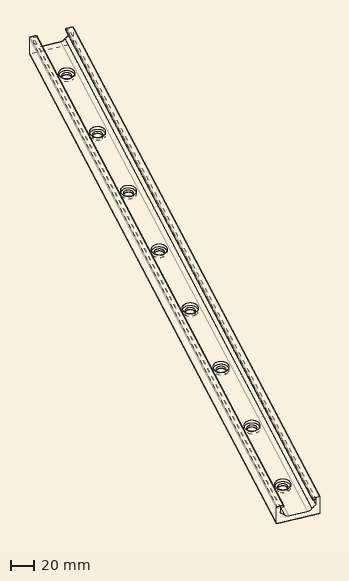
import cadquery as cq

length = 640.0
width = 40.0
height = 20.0

floor_thickness = 6.0
wall_thickness = 4.0
lip_thickness = 2.0
lip_opening = 26.0
edge_radius = 0.8

floor_width = 17.0
cove_width = 4.0
cove_height = 2.5
ledge_rise = 3.0

hole_count = 8
hole_pitch = length / hole_count
hole_diameter = 9.0
counterbore_diameter = 14.0
counterbore_depth = 3.0

cove_radius = (cove_width**2 + cove_height**2) / (2 * cove_height)

half_width = width / 2
half_floor = floor_width / 2
wall_inside = half_width - wall_thickness
lip_inside = lip_opening / 2
lip_underside = height - lip_thickness
ledge_inside = half_floor + cove_width
ledge_bottom = floor_thickness + cove_height
ledge_top = ledge_bottom + ledge_rise

rail = (
    cq.Workplane("YZ", origin=(-length / 2, 0, 0))
    .moveTo(0, 0)
    .lineTo(half_width, 0)
    .lineTo(half_width, height)
    .lineTo(lip_inside, height)
    .lineTo(lip_inside, lip_underside)
    .lineTo(wall_inside, lip_underside)
    .lineTo(wall_inside, ledge_top)
    .lineTo(ledge_inside, ledge_bottom)
    .radiusArc((half_floor, floor_thickness), cove_radius)
    .lineTo(0, floor_thickness)
    .mirrorY()
    .extrude(length)
)

rail = rail.faces("<Z or >Z").edges("|X").fillet(edge_radius)

result = (
    rail.copyWorkplane(cq.Workplane("XY", origin=(0, 0, floor_thickness)))
    .rarray(hole_pitch, 6.5, hole_count, 1)
    .cboreHole(hole_diameter, counterbore_diameter, counterbore_depth, floor_thickness)
)